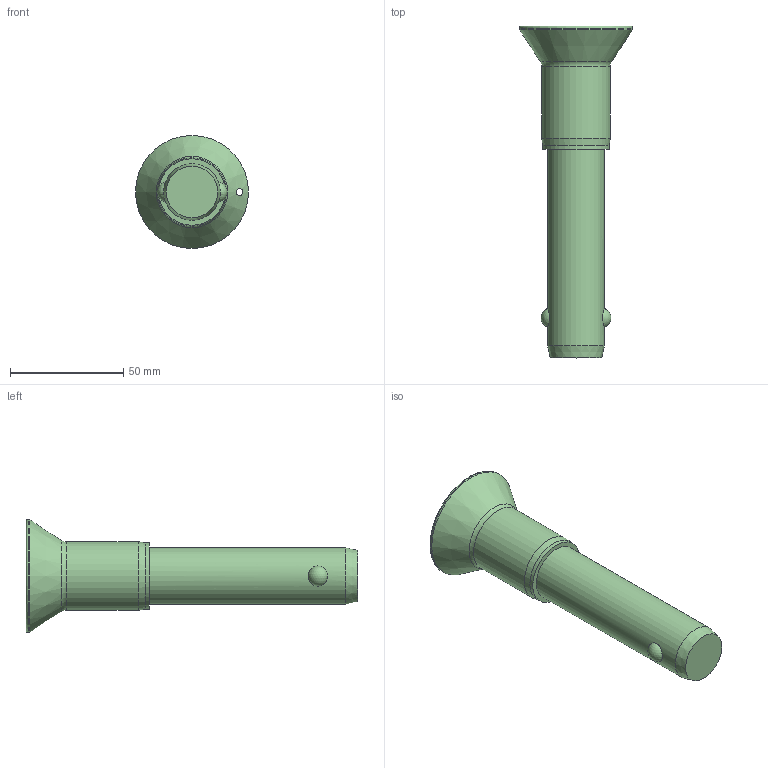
import cadquery as cq
import math

total_length = 146.8
rim_thickness = 1.6
grip_start = 16.7
grip_length = 32.9
taper_length = 3.1
collar_length = 1.8
tip_length = 5.3

head_radius = 25.0
grip_radius = 15.1
collar_radius = 14.7
pin_radius = 12.5
tip_radius = 11.4
neck_fillet_radius = 4.0
rim_round_radius = 0.9

ball_radius = 4.5
ball_reach = 15.45
ball_tip_distance = 17.7

hole_diameter = 3.0
hole_offset = 21.0

taper_start = grip_start + grip_length
collar_start = taper_start + taper_length
collar_end = collar_start + collar_length
tip_start = total_length - tip_length
ball_y = ball_tip_distance - total_length
ball_center_x = ball_reach - ball_radius


def neck_arc():
    """Start, middle and end of the arc blending the flared head into the grip."""
    cone_angle = math.atan2(head_radius - grip_radius, grip_start - rim_thickness)
    tangent_length = neck_fillet_radius * math.tan(cone_angle / 2)
    arc_center_r = grip_radius + neck_fillet_radius
    arc_center_y = grip_start + tangent_length

    def arc_point(angle):
        radius = arc_center_r - neck_fillet_radius * math.cos(angle)
        distance = arc_center_y - neck_fillet_radius * math.sin(angle)
        return (radius, -distance)

    return arc_point(cone_angle), arc_point(cone_angle / 2), arc_point(0)


def turned_body():
    """Head, grip, collar and pin revolved about the Y axis."""
    arc_start, arc_middle, arc_end = neck_arc()
    profile = (
        cq.Workplane("XY")
        .lineTo(head_radius - rim_round_radius, 0)
        .radiusArc((head_radius, -rim_round_radius), rim_round_radius)
        .lineTo(head_radius, -rim_thickness)
        .lineTo(*arc_start)
        .threePointArc(arc_middle, arc_end)
        .lineTo(grip_radius, -taper_start)
        .lineTo(collar_radius, -collar_start)
        .lineTo(collar_radius, -collar_end)
        .lineTo(pin_radius, -collar_end)
        .lineTo(pin_radius, -tip_start)
        .lineTo(tip_radius, -total_length)
        .lineTo(0, -total_length)
        .close()
    )
    return profile.revolve(360, (0, 0, 0), (0, 1, 0))


def locking_ball(side):
    """One ball, on the +X or -X side of the pin."""
    return cq.Workplane("XY").sphere(ball_radius).translate((side * ball_center_x, ball_y, 0))


def head_hole():
    """Cutter parallel to the axis, on the +X side of the head."""
    return (
        cq.Workplane("XZ")
        .center(hole_offset, 0)
        .circle(hole_diameter / 2)
        .extrude(grip_start)
    )


result = turned_body()
for side in (-1, 1):
    result = result.union(locking_ball(side))
result = result.cut(head_hole())